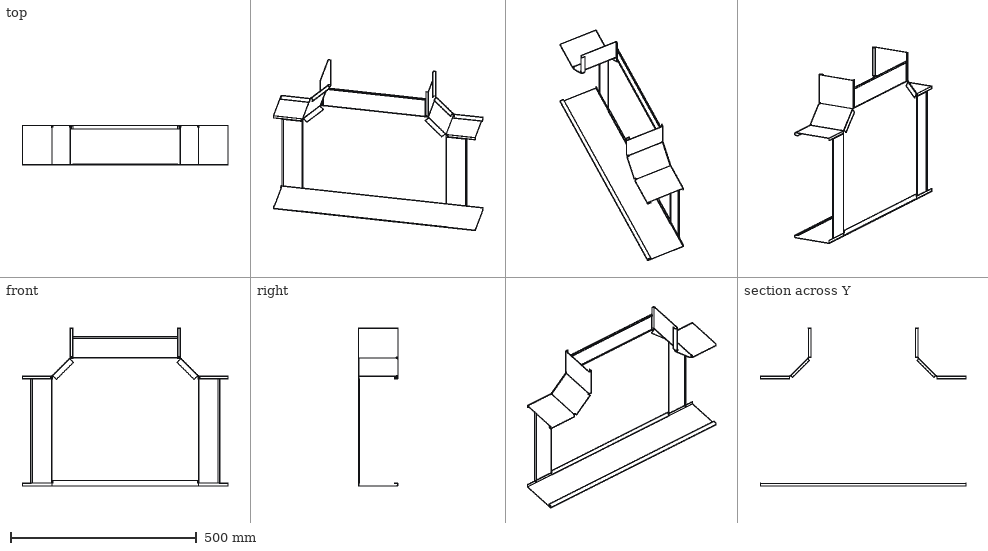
import cadquery as cq
import math


LENGTH = 554.0
DEPTH = 107.0
HEIGHT = 425.0

SHEET = 1.0
BEND = 3.5
RIM_HEIGHT = 8.5
RIM_LIP = 10.0
RAIL_FLANGE = 8.5
CRANK_FLANGE = 7.0
TAB = 15.0

BRANCH = 80.0
SLOPE_RUN = 49.0
CROSSING_X = LENGTH / 2 - BRANCH
CROSSING_TOP = HEIGHT - BRANCH
SIDE_TOP = CROSSING_TOP - SLOPE_RUN
NECK_X = CROSSING_X - SLOPE_RUN

NOTCH = 5.0
BRANCH_GAP = 1.0
BRANCH_GAP_TIP = 6.5
SLOPE_GAP = 2.0
RAIL_TAB_GAP = 3.0

TONGUE = 57.0
TONGUE_MARGIN = 8.5
STEP_RUN = 1.5
HEM_LENGTH = 5.0
HEM_TAPER = 0.15

INNER_SHIFT = SHEET * math.tan(math.radians(22.5))


def rail_panel(start, end, flange, start_gap=0.0, end_gap=0.0):
    """Panel running from start to end (x, z), with front flange and hooked rear rim.

    The flanges stand on the left of the running direction.
    """
    run_x = end[0] - start[0]
    run_z = end[1] - start[1]
    run = math.hypot(run_x, run_z)
    along = (run_x / run, 0, run_z / run)
    origin = (start[0] + along[0] * start_gap, 0, start[1] + along[2] * start_gap)
    plane = cq.Plane(origin=origin, xDir=(0, 1, 0), normal=along)

    bend_start = DEPTH - BEND
    inner = DEPTH - SHEET
    inner_rim = RIM_HEIGHT - SHEET
    outer_sag = BEND * math.sqrt(0.5)
    inner_sag = (BEND - SHEET) * math.sqrt(0.5)
    upper = RIM_HEIGHT - BEND
    return (
        cq.Workplane(plane)
        .moveTo(0, 0)
        .lineTo(bend_start, 0)
        .threePointArc((bend_start + outer_sag, BEND - outer_sag), (DEPTH, BEND))
        .lineTo(DEPTH, upper)
        .threePointArc((bend_start + outer_sag, upper + outer_sag), (bend_start, RIM_HEIGHT))
        .lineTo(DEPTH - RIM_LIP, RIM_HEIGHT)
        .lineTo(DEPTH - RIM_LIP, inner_rim)
        .lineTo(bend_start, inner_rim)
        .threePointArc((bend_start + inner_sag, upper + inner_sag), (inner, upper))
        .lineTo(inner, BEND)
        .threePointArc((bend_start + inner_sag, BEND - inner_sag), (bend_start, SHEET))
        .lineTo(SHEET, SHEET)
        .lineTo(SHEET, flange)
        .lineTo(0, flange)
        .close()
        .extrude(run - start_gap - end_gap)
    )


def xz_plate(points, y_start, y_end):
    """Flat plate with an outline in the XZ plane, between two Y positions."""
    return (
        cq.Workplane("XZ", origin=(0, y_end, 0))
        .polyline(points)
        .close()
        .extrude(y_end - y_start)
    )


def make_straight_rail():
    rail = rail_panel((-LENGTH / 2, 0), (LENGTH / 2, 0), RAIL_FLANGE)
    tab_length = 2 * (CROSSING_X - RAIL_TAB_GAP)
    tab = cq.Workplane("XY").box(tab_length, SHEET, TAB, centered=(True, False, False))
    return rail.union(tab)


def make_left_cranked_rail():
    side_end = (-LENGTH / 2, SIDE_TOP)
    side_corner = (-CROSSING_X, SIDE_TOP)
    neck_corner = (-NECK_X, CROSSING_TOP)
    neck_end = (-NECK_X, HEIGHT)

    side = rail_panel(side_corner, side_end, CRANK_FLANGE, start_gap=BRANCH_GAP)
    slope = rail_panel(neck_corner, side_corner, TAB, start_gap=SLOPE_GAP, end_gap=SLOPE_GAP)
    neck = rail_panel(neck_end, neck_corner, CRANK_FLANGE, end_gap=BRANCH_GAP)

    side_relief = xz_plate(
        [
            (-CROSSING_X - BRANCH_GAP, SIDE_TOP - SHEET),
            (-CROSSING_X - BRANCH_GAP, SIDE_TOP - RIM_HEIGHT),
            (-CROSSING_X - BRANCH_GAP_TIP, SIDE_TOP - RIM_HEIGHT),
        ],
        0,
        SHEET,
    )
    neck_relief = xz_plate(
        [
            (-NECK_X + SHEET, CROSSING_TOP + BRANCH_GAP),
            (-NECK_X + RIM_HEIGHT, CROSSING_TOP + BRANCH_GAP),
            (-NECK_X + RIM_HEIGHT, CROSSING_TOP + BRANCH_GAP_TIP),
        ],
        0,
        SHEET,
    )

    web = xz_plate(
        [
            side_end,
            side_corner,
            neck_corner,
            neck_end,
            (-NECK_X + SHEET, HEIGHT),
            (-NECK_X + SHEET, CROSSING_TOP - INNER_SHIFT),
            (-CROSSING_X + INNER_SHIFT, SIDE_TOP - SHEET),
            (-LENGTH / 2, SIDE_TOP - SHEET),
        ],
        0,
        DEPTH - NOTCH,
    )
    return web.union(side.cut(side_relief)).union(slope).union(neck.cut(neck_relief))


def tongue(plane, edge, tip, width):
    """Strip from the floor's edge out to a hemmed tip, extruded from the plane.

    Local x runs outwards and local y runs back from the front of the part.
    """
    step_end = edge + STEP_RUN
    hem_start = tip - HEM_LENGTH
    hem_middle = 1.5 * SHEET
    hem_depth = 3 * SHEET
    nose = tip - hem_middle
    sag = hem_middle * math.sqrt(0.5)
    return (
        cq.Workplane(plane)
        .moveTo(edge, SHEET)
        .lineTo(step_end, 0)
        .lineTo(hem_start, 0)
        .lineTo(nose, HEM_TAPER)
        .threePointArc((nose + sag, hem_middle - sag), (tip, hem_middle))
        .threePointArc((nose + sag, hem_middle + sag), (nose, hem_depth))
        .lineTo(hem_start, hem_depth)
        .lineTo(hem_start, 2 * SHEET)
        .lineTo(nose, 2 * SHEET)
        .threePointArc((nose + SHEET / 2, hem_middle), (nose, SHEET))
        .lineTo(step_end, SHEET)
        .lineTo(edge, 2 * SHEET)
        .close()
        .extrude(width)
    )


def make_floor_plate():
    edge_x = CROSSING_X - INNER_SHIFT
    edge_top = CROSSING_TOP - INNER_SHIFT

    neck_x = NECK_X - SHEET
    side_top = SIDE_TOP - SHEET
    floor = xz_plate(
        [
            (-edge_x, SHEET),
            (edge_x, SHEET),
            (edge_x, side_top),
            (neck_x, edge_top),
            (-neck_x, edge_top),
            (-edge_x, side_top),
        ],
        SHEET,
        2 * SHEET,
    )

    side_plane = cq.Plane(origin=(0, 0, TONGUE_MARGIN), xDir=(1, 0, 0), normal=(0, 0, 1))
    side_tongue = tongue(side_plane, edge_x, CROSSING_X + TONGUE, SIDE_TOP - 2 * TONGUE_MARGIN)
    top_tongue_x = NECK_X - TONGUE_MARGIN
    top_plane = cq.Plane(origin=(top_tongue_x, 0, 0), xDir=(0, 0, 1), normal=(-1, 0, 0))
    top_tongue = tongue(top_plane, edge_top, CROSSING_TOP + TONGUE, 2 * top_tongue_x)

    return floor.union(side_tongue).union(side_tongue.mirror("YZ")).union(top_tongue)


straight_rail = make_straight_rail()
left_cranked_rail = make_left_cranked_rail()
right_cranked_rail = left_cranked_rail.mirror("YZ")
floor_plate = make_floor_plate()

result = cq.Compound.makeCompound(
    [
        straight_rail.val(),
        left_cranked_rail.val(),
        right_cranked_rail.val(),
        floor_plate.val(),
    ]
)